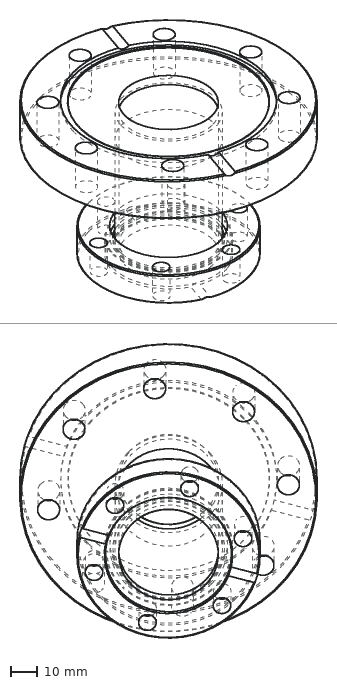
import cadquery as cq
import math

total_height = 70.0

large_diameter = 113.5
large_thickness = 17.5
large_chamfer = 0.5
large_hole_count = 8
large_hole_diameter = 8.4
large_hole_circle = 92.2
large_groove_width = 4.4
large_groove_depth = 1.0

recess_diameter = 82.5
knife_diameter = 77.2
knife_depth = 0.7
knife_slope = 20.0
face_depth = 1.1
knife_inner_diameter = 76.7

tube_diameter = 41.0
bore_diameter = 38.0
socket_floor = 4.2

small_diameter = 70.0
small_thickness = 12.9
small_chamfer = 0.5
small_hole_count = 6
small_hole_diameter = 6.7
small_hole_circle = 58.7
small_groove_width = 3.9
small_groove_depth = 0.9
lip_diameter = 45.0
ring_bore_diameter = 48.9
insert_diameter = 48.1
insert_bottom = 0.9
insert_top = 7.6
clearance_diameter = 42.6
clearance_depth = 1.7


def cylinder(diameter, bottom, top):
    """Solid cylinder on the Z axis between two heights."""
    return cq.Workplane("XY").workplane(offset=bottom).circle(diameter / 2).extrude(top - bottom)


def bolt_holes(count, circle_diameter, hole_diameter, height):
    """Bolt hole cutters spread evenly, with the X axis midway between two holes."""
    return (
        cq.Workplane("XY")
        .polarArray(circle_diameter / 2, 180 / count, 360, count)
        .circle(hole_diameter / 2)
        .extrude(height)
    )


def leak_groove(width, depth, face_height, inward, inner_diameter, outer_diameter):
    """Round-bottomed cutters along X on both sides; inward is the Z direction into the part."""
    radius = (width**2 / 4 + depth**2) / (2 * depth)
    center_height = face_height + inward * (depth - radius)
    rod = (
        cq.Workplane("YZ")
        .center(0, center_height)
        .circle(radius)
        .extrude(outer_diameter / 2, both=True)
    )
    core = cylinder(inner_diameter, center_height - 2 * radius, center_height + 2 * radius)
    return rod.cut(core)


def sealing_recess():
    """Cutter for the recess whose sloping floor rises inward to a knife edge."""
    recess_radius = recess_diameter / 2
    knife_radius = knife_diameter / 2
    rise = (recess_radius - knife_radius) * math.tan(math.radians(knife_slope))
    profile = [
        (0, total_height),
        (recess_radius, total_height),
        (recess_radius, total_height - knife_depth - rise),
        (knife_radius, total_height - knife_depth),
        (knife_inner_diameter / 2, total_height - face_depth),
        (0, total_height - face_depth),
    ]
    return cq.Workplane("XZ").polyline(profile).close().revolve(360, (0, 0, 0), (0, 1, 0))


tube_bottom = insert_bottom + socket_floor
tube_top = total_height - face_depth - socket_floor


def make_tube():
    outside = cylinder(tube_diameter, tube_bottom, tube_top)
    return outside.cut(cylinder(bore_diameter, tube_bottom, tube_top))


def make_large_flange():
    bottom = total_height - large_thickness
    body = cylinder(large_diameter, bottom, total_height).edges().chamfer(large_chamfer)
    body = body.cut(sealing_recess())
    body = body.cut(cylinder(bore_diameter, bottom, total_height))
    body = body.cut(cylinder(tube_diameter, bottom, tube_top))
    body = body.cut(bolt_holes(large_hole_count, large_hole_circle, large_hole_diameter, total_height))
    groove = leak_groove(
        large_groove_width, large_groove_depth, total_height, -1, recess_diameter, large_diameter
    )
    return body.cut(groove)


def make_insert():
    body = cylinder(insert_diameter, insert_bottom, insert_top)
    body = body.cut(cylinder(bore_diameter, insert_bottom, insert_top))
    body = body.cut(cylinder(tube_diameter, tube_bottom, insert_top))
    return body.cut(cylinder(clearance_diameter, insert_top - clearance_depth, insert_top))


def make_ring():
    body = cylinder(small_diameter, 0, small_thickness).edges().chamfer(small_chamfer)
    body = body.cut(cylinder(lip_diameter, 0, small_thickness))
    body = body.cut(cylinder(ring_bore_diameter, 0, insert_top))
    body = body.cut(bolt_holes(small_hole_count, small_hole_circle, small_hole_diameter, small_thickness))
    groove = leak_groove(
        small_groove_width, small_groove_depth, 0, 1, ring_bore_diameter, small_diameter
    )
    return body.cut(groove)


large_flange = make_large_flange()
tube = make_tube()
insert = make_insert()
ring = make_ring()

result = cq.Compound.makeCompound([large_flange.val(), tube.val(), insert.val(), ring.val()])